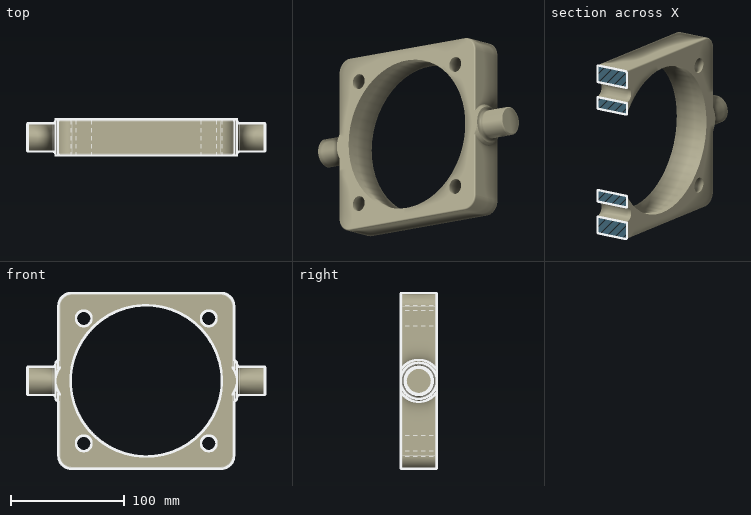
import cadquery as cq

frame_side = 155.0
frame_thickness = 32.0
corner_radius = 12.0
edge_fillet = 1.4
bore_diameter = 133.0

bolt_hole_diameter = 13.5
bolt_spacing = 110.0

trunnion_span = 210.0
pin_diameter = 25.0
pin_end_chamfer = 1.0
pin_root_fillet = 2.0
collar_height = 2.5
collar_tip_radius = frame_thickness / 2

half_side = frame_side / 2
half_thickness = frame_thickness / 2
collar_tip_x = half_side + collar_height
collar_base_x = half_side - edge_fillet
collar_base_radius = collar_tip_radius + collar_tip_x - collar_base_x


def make_frame():
    """Rounded square block with filleted rims on both faces."""
    return (
        cq.Workplane("XZ")
        .rect(frame_side, frame_side)
        .extrude(half_thickness, both=True)
        .edges("|Y")
        .fillet(corner_radius)
        .faces("<Y or >Y")
        .edges()
        .fillet(edge_fillet)
    )


def make_trunnion():
    """Pin and collar on the +X side, revolved about X and trimmed flush with the frame faces."""
    pin_radius = pin_diameter / 2
    pin_end_x = trunnion_span / 2
    fillet_middle = pin_root_fillet * (1 - 0.5 ** 0.5)
    profile = (
        cq.Workplane("XY")
        .moveTo(collar_base_x, 0)
        .lineTo(collar_base_x, collar_base_radius)
        .lineTo(collar_tip_x, collar_tip_radius)
        .lineTo(collar_tip_x, pin_radius + pin_root_fillet)
        .threePointArc(
            (collar_tip_x + fillet_middle, pin_radius + fillet_middle),
            (collar_tip_x + pin_root_fillet, pin_radius),
        )
        .lineTo(pin_end_x - pin_end_chamfer, pin_radius)
        .lineTo(pin_end_x, pin_radius - pin_end_chamfer)
        .lineTo(pin_end_x, 0)
        .close()
    )
    turned = profile.revolve(360, (0, 0, 0), (1, 0, 0))
    trim_slab = cq.Workplane("XY").box(trunnion_span, frame_thickness, frame_side)
    return turned.intersect(trim_slab)


def make_bore():
    """Cutter for the central through bore."""
    return cq.Workplane("XZ").circle(bore_diameter / 2).extrude(half_thickness, both=True)


def make_bolt_holes():
    """Cutter for the four corner through holes."""
    return (
        cq.Workplane("XZ")
        .rect(bolt_spacing, bolt_spacing, forConstruction=True)
        .vertices()
        .circle(bolt_hole_diameter / 2)
        .extrude(half_thickness, both=True)
    )


trunnion = make_trunnion()
result = (
    make_frame()
    .union(trunnion)
    .union(trunnion.mirror("YZ"))
    .cut(make_bore())
    .cut(make_bolt_holes())
)